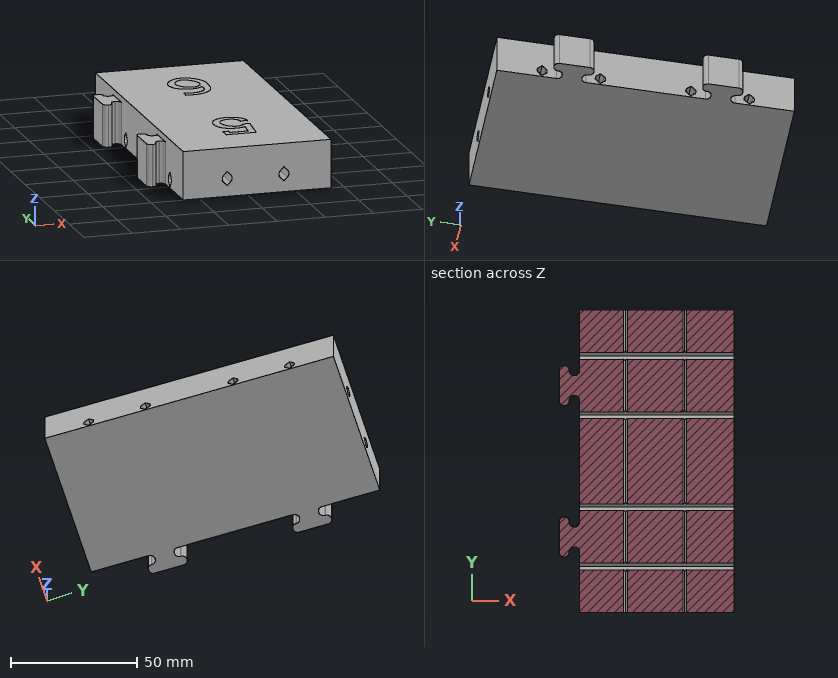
import cadquery as cq
import math

block_length = 120.0
block_width = 61.4
block_height = 20.0
cell_pitch = block_length / 2
cell_center_x = cell_pitch / 2
cell_centers_y = (cell_pitch / 2, -cell_pitch / 2)

connector_reach = 8.0
connector_height = 17.5
head_thickness = connector_reach / 2
head_half_span = connector_reach
neck_half_span = connector_reach / 2
connector_radius = 1.9

hole_diameter = 4.1
hole_spacing = 23.5
hole_point = hole_diameter / 2 * math.sqrt(2)
cross_hole_z = 3.6
long_hole_z = 7.4

inlay_depth = 1.0


def make_connector(center_y):
    """T-shaped connector on the -X wall: a rounded head on a neck that is filleted at both ends."""
    r = connector_radius
    front_x = -connector_reach
    back_x = head_thickness - connector_reach
    head_side_y = head_half_span - r
    neck_end_y = neck_half_span + r
    half = (
        cq.Workplane("XY")
        .moveTo(0, 0)
        .lineTo(0, neck_end_y)
        .radiusArc((-r, neck_half_span), r)
        .lineTo(back_x + r, neck_half_span)
        .radiusArc((back_x, neck_end_y), r)
        .lineTo(back_x, head_side_y)
        .radiusArc((back_x - r, head_half_span), -r)
        .lineTo(front_x + r, head_half_span)
        .radiusArc((front_x, head_side_y), -r)
        .lineTo(front_x, 0)
        .close()
        .extrude(connector_height)
    )
    return half.union(half.mirror("XZ")).clean().translate((0, center_y, 0))


def make_pointed_hole(plane, across, height, depth):
    """Round bar with a 45 degree point above and below, starting on the given plane."""
    tangent = hole_diameter / 2 / math.sqrt(2)
    side = hole_diameter / 2
    return (
        cq.Workplane(plane)
        .center(across, height)
        .moveTo(0, hole_point)
        .lineTo(tangent, tangent)
        .threePointArc((side, 0), (tangent, -tangent))
        .lineTo(0, -hole_point)
        .lineTo(-tangent, -tangent)
        .threePointArc((-side, 0), (-tangent, tangent))
        .close()
        .extrude(depth)
    )


def place_digit(digit, center_y):
    """Turn a digit upside down and set it flush with the top face."""
    turned = digit.rotate((0, 0, 0), (0, 0, 1), 180)
    return turned.translate((cell_center_x, center_y, block_height - inlay_depth))


def make_six(center_y):
    outer = (
        cq.Workplane("XY")
        .moveTo(-4.4, 1.8)
        .spline([(0.7, 3.8), (5.5, 1.9), (7.7, -4.0), (0, -12.4), (-6.6, -8.2), (-7.9, 0.4),
                 (-5.6, 8.4), (0.8, 12.1), (5.2, 11.3)], includeCurrent=True)
        .lineTo(4.9, 8.6)
        .spline([(0.5, 9.4), (-3.1, 7.5), (-4.4, 1.8)], includeCurrent=True)
        .close()
        .extrude(inlay_depth)
    )
    counter = (
        cq.Workplane("XY")
        .moveTo(-4.7, -1.2)
        .spline([(0, 1.3), (4.5, -4.0), (0.4, -9.7), (-3.8, -6.7), (-4.7, -1.2)], includeCurrent=True)
        .close()
        .extrude(inlay_depth)
    )
    return place_digit(outer.cut(counter), center_y)


def make_five(center_y):
    five = (
        cq.Workplane("XY")
        .moveTo(-7.5, -6.0)
        .spline([(-5.5, -10.5), (-0.7, -12.5), (4.3, -10.7), (7.0, -4.1), (4.8, 1.8), (-0.2, 3.5),
                 (-4.1, 2.3)], includeCurrent=True)
        .lineTo(-3.4, 8.8)
        .lineTo(4.1, 8.8)
        .lineTo(4.1, 6.8)
        .lineTo(6.5, 6.8)
        .lineTo(6.5, 11.5)
        .lineTo(-5.9, 11.5)
        .lineTo(-7.2, -1.5)
        .lineTo(-4.5, -1.5)
        .spline([(-0.2, 0.7), (3.8, -4.3), (2.6, -8.4), (-1.1, -9.7), (-4.7, -6.0)], includeCurrent=True)
        .close()
        .extrude(inlay_depth)
    )
    return place_digit(five, center_y)


six = make_six(cell_centers_y[0])
five = make_five(cell_centers_y[1])


def make_block():
    block = cq.Workplane("XY").box(block_width, block_length, block_height, centered=(False, True, False))
    for center_y in cell_centers_y:
        block = block.union(make_connector(center_y))
    for side in (-1, 1):
        offset = side * hole_spacing / 2
        long_hole = make_pointed_hole("XZ", cell_center_x + offset, long_hole_z, block_length)
        block = block.cut(long_hole.translate((0, block_length / 2, 0)))
        for center_y in cell_centers_y:
            block = block.cut(make_pointed_hole("YZ", center_y + offset, cross_hole_z, block_width))
    return block.cut(six).cut(five)


block = make_block()

result = cq.Compound.makeCompound([block.val(), six.val(), five.val()])